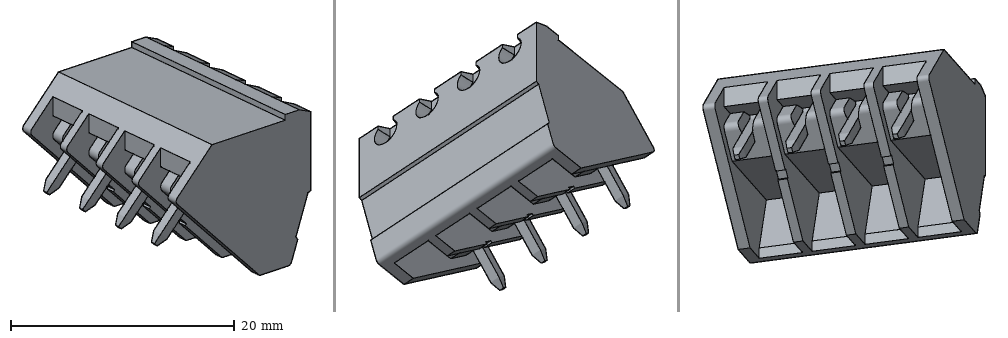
import cadquery as cq
import math

POLES = 4
PITCH = 5.0
WIDTH = 21.4
HEIGHT = 14.9

ROOF_HEIGHT = 14.34
RIDGE_REAR = 1.35
RIDGE_FRONT = 3.0
ROOF_FRONT = 11.55
BASE_FRONT = 5.97
NOSE_RADIUS = 0.45
BACK_ANGLE = 20.0
BACK_FOOT = 6.63
LEDGE = (0.32, 6.5)
LATCH_INNER = (1.73, 2.6)
LATCH_OUTER = (1.52, 2.3)
HEEL_RADIUS = 0.5

POCKET_WIDTH = 4.1
POCKET_BACK = 13.16
RECESS_ROOF = 10.87
TONGUE_TOP = 22.35
TONGUE_BOTTOM = 4.52
TONGUE_RADIUS = 0.65
CAVITY_ROOF = 6.45
CAVITY_BACK = 3.42
CAVITY_FOOT = 1.0

NOTCH_LOW = 4.32
NOTCH_HIGH = 4.95
NOTCH_DEPTH = 0.21

PIN_SIZE = 1.0
PIN_TOP = 21.05
PIN_LEAN = 45.0
PIN_REACH = 15.8
TIP_SIZE = 0.45
TIP_LENGTH = 0.98
BEND_RADIUS = 0.88
SHANK_TOP = 11.98
GROOVE_MOUTH = 1.52
GROOVE_REACH = 6.42

FUNNEL_DIAMETER = 2.7
FUNNEL_HEIGHT = 12.9
SLOT_MOUTH = 1.8
ENTRY_DRAFT = 10.0

OVERCUT = 1.07
ROOT2 = math.sqrt(2.0)
POLE_X = [(i - (POLES - 1) / 2.0) * PITCH for i in range(POLES)]


def prism(points, width, x=0.0):
    """Closed (depth, height) outline extruded along X, centred on x."""
    outline = cq.Workplane("YZ").polyline([(-depth, height) for depth, height in points]).close()
    return outline.extrude(width / 2.0, both=True).translate((x, 0, 0))


def round_edge(solid, depth, height, radius):
    """Fillet the edge along X at the given section point."""
    corner = cq.selectors.NearestToPointSelector((0, -depth, height))
    return solid.edges(corner).fillet(radius)


def housing():
    """Full-width body with the rear ridge, slanted front and underside, and latched back."""
    nose_depth = (ROOF_FRONT + ROOF_HEIGHT + BASE_FRONT) / 2.0
    nose_height = nose_depth - BASE_FRONT
    heel_depth = LATCH_OUTER[0] + LATCH_OUTER[1] * math.tan(math.radians(BACK_ANGLE))
    body = prism([
        (0, BACK_FOOT),
        (0, ROOF_HEIGHT),
        (RIDGE_REAR, HEIGHT),
        (RIDGE_FRONT, HEIGHT),
        (RIDGE_FRONT, ROOF_HEIGHT),
        (ROOF_FRONT, ROOF_HEIGHT),
        (nose_depth, nose_height),
        (BASE_FRONT, 0),
        (heel_depth, 0),
        LATCH_OUTER,
        LATCH_INNER,
        LEDGE,
    ], WIDTH)
    body = round_edge(body, nose_depth, nose_height, NOSE_RADIUS)
    return round_edge(body, heel_depth, 0, HEEL_RADIUS)


def pocket(x):
    """Recess opening through the slanted front and underside, leaving a round-nosed tongue."""
    front = PIN_REACH + OVERCUT
    tongue_depth = (TONGUE_TOP + TONGUE_BOTTOM) / 2.0
    tongue_height = (TONGUE_TOP - TONGUE_BOTTOM) / 2.0
    wall_run = (CAVITY_ROOF - CAVITY_FOOT) * math.tan(math.radians(BACK_ANGLE))
    cut = prism([
        (POCKET_BACK, HEIGHT),
        (POCKET_BACK, RECESS_ROOF),
        (TONGUE_TOP - RECESS_ROOF, RECESS_ROOF),
        (tongue_depth, tongue_height),
        (TONGUE_BOTTOM + CAVITY_ROOF, CAVITY_ROOF),
        (CAVITY_BACK - wall_run, CAVITY_ROOF),
        (CAVITY_BACK, CAVITY_FOOT),
        (CAVITY_BACK, -OVERCUT),
        (front, -OVERCUT),
        (front, HEIGHT),
    ], POCKET_WIDTH)
    return round_edge(cut, tongue_depth, tongue_height, TONGUE_RADIUS).translate((x, 0, 0))


def groove(x):
    """Drafted groove through the tongue, from the upper pin face to the tongue face."""
    depth = (TONGUE_TOP - PIN_TOP) / ROOT2
    along_pin = cq.Plane(
        origin=(x, RECESS_ROOF - PIN_TOP, RECESS_ROOF),
        xDir=(1, 0, 0),
        normal=(0, -1, -1),
    )
    channel = (
        cq.Workplane(along_pin)
        .polyline([
            (-PIN_SIZE / 2.0, 0),
            (PIN_SIZE / 2.0, 0),
            (GROOVE_MOUTH / 2.0, depth),
            (-GROOVE_MOUTH / 2.0, depth),
        ])
        .close()
        .extrude(GROOVE_REACH, both=True)
    )
    below_roof = cq.Workplane("XY").box(
        WIDTH, 2 * PIN_REACH, RECESS_ROOF, centered=(True, True, False)
    )
    return channel.intersect(below_roof)


def pin(x):
    """Square pin: upright shank, rounded bend, 45 degree leg and a tapered tip."""
    axis = PIN_TOP - PIN_SIZE / ROOT2
    end_depth = PIN_REACH - TIP_SIZE / 2.0 / ROOT2
    taper_depth = end_depth - TIP_LENGTH / ROOT2
    half = PIN_SIZE / 2.0 / ROOT2
    bend_drop = BEND_RADIUS / ROOT2
    bend_out = BEND_RADIUS - bend_drop
    bend_half = math.radians(PIN_LEAN / 2.0)
    bend_end = (PIN_TOP - RECESS_ROOF + bend_drop, RECESS_ROOF - bend_drop)
    shank_front = bend_end[0] - bend_out
    bend_middle = (
        shank_front + BEND_RADIUS * (1 - math.cos(bend_half)),
        RECESS_ROOF - BEND_RADIUS * math.sin(bend_half),
    )
    shank_back = shank_front - PIN_SIZE
    leg = (
        cq.Workplane("YZ")
        .moveTo(-shank_front, SHANK_TOP)
        .lineTo(-shank_front, RECESS_ROOF)
        .threePointArc((-bend_middle[0], bend_middle[1]), (-bend_end[0], bend_end[1]))
        .lineTo(-(taper_depth + half), axis - taper_depth + half)
        .lineTo(-(taper_depth - half), axis - taper_depth - half)
        .lineTo(-shank_back, axis - 2 * half - shank_back)
        .lineTo(-shank_back, SHANK_TOP)
        .close()
        .extrude(PIN_SIZE / 2.0, both=True)
        .translate((x, 0, 0))
    )
    taper_start = cq.Plane(
        origin=(x, -taper_depth, axis - taper_depth),
        xDir=(1, 0, 0),
        normal=(0, -1, -1),
    )
    tip = (
        cq.Workplane(taper_start)
        .rect(PIN_SIZE, PIN_SIZE)
        .workplane(offset=TIP_LENGTH)
        .rect(TIP_SIZE, TIP_SIZE)
        .loft(ruled=True)
    )
    return leg.union(tip)


def rib_notch(x):
    """Shallow step across one rib, square to the slanted underside."""
    step = NOTCH_DEPTH / ROOT2
    return prism([
        (BASE_FRONT + NOTCH_LOW, NOTCH_LOW),
        (BASE_FRONT + NOTCH_LOW - step, NOTCH_LOW + step),
        (BASE_FRONT + NOTCH_HIGH - step, NOTCH_HIGH + step),
        (BASE_FRONT + NOTCH_HIGH, NOTCH_HIGH),
    ], PITCH - POCKET_WIDTH, x)


def wire_entry(x):
    """Conical funnel in the back face, opened upward by a slot that narrows toward the front."""
    funnel = cq.Workplane(cq.Solid.makeCone(
        FUNNEL_DIAMETER / 2.0,
        FUNNEL_DIAMETER / 2.0 - RIDGE_REAR * math.tan(math.radians(ENTRY_DRAFT)),
        RIDGE_REAR,
        pnt=cq.Vector(x, 0, FUNNEL_HEIGHT),
        dir=cq.Vector(0, -1, 0),
    ))
    slot_end = SLOT_MOUTH - 2 * RIDGE_REAR * math.tan(math.radians(ENTRY_DRAFT))
    slot = (
        cq.Workplane("XY", origin=(x, 0, FUNNEL_HEIGHT))
        .polyline([
            (-SLOT_MOUTH / 2.0, 0),
            (SLOT_MOUTH / 2.0, 0),
            (slot_end / 2.0, -RIDGE_REAR),
            (-slot_end / 2.0, -RIDGE_REAR),
        ])
        .close()
        .extrude(HEIGHT - FUNNEL_HEIGHT)
    )
    return funnel.union(slot)


result = housing()
for pole_x in POLE_X:
    result = result.cut(pocket(pole_x)).cut(groove(pole_x)).cut(wire_entry(pole_x))
for left_x, right_x in zip(POLE_X, POLE_X[1:]):
    result = result.cut(rib_notch((left_x + right_x) / 2.0))
for pole_x in POLE_X:
    result = result.union(pin(pole_x))